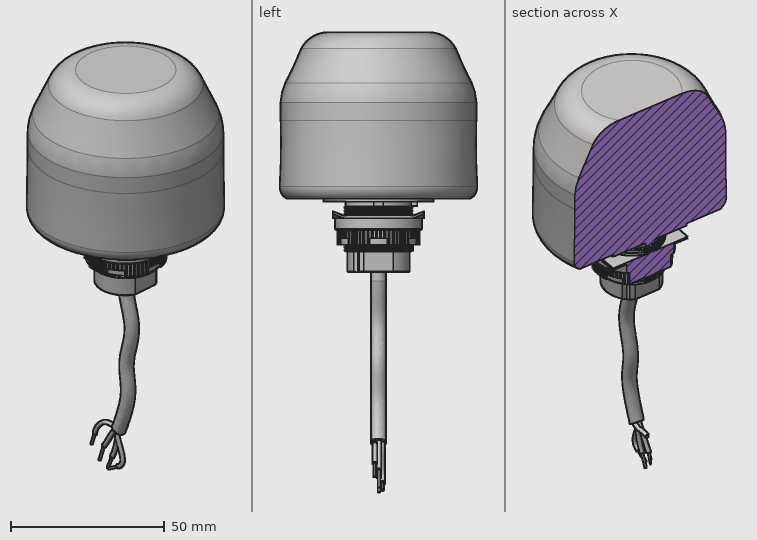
import cadquery as cq
import math


clearance = 1.5

top_z = 54.5
housing_radius = 32.3
lens_radius = 32.0
lens_flat_radius = 16.4
crown_round = 10.1
shoulder_round = 13.4
cone_slope = math.radians(62)
shoulder_bottom_z = 31.6
lens_bottom_z = 25.7
housing_round_z = 4.0
underside_radius = 30.0
flange_radius = 18
flange_bottom_z = -0.9

thread_root_radius = 10.6
thread_crest_radius = 11.1
ridge_count = 15
crest_width = 0.2
collar_radius = 10.8
collar_bottom_z = -2.4
neck_bottom_z = -17.3
key_width = 3.2
side_key_reach = 11.3
front_key_reach = 12.71
thread_flat_x = -11.0
dot_diameter = 3.5
dot_z = -15.2
dot_reach = 11.3

washer_half = 14.9
corner_start = 11.5
corner_top_z = -4.0
washer_top_z = -5.4
washer_bottom_z = -6.3

band_radius = 14.3
band_bottom_z = -10.2
band_chamfer = 0.5
crown_radius = 13.47
crown_bottom_z = -15
groove_count = 60
groove_width = 0.53
groove_depth = 0.38
groove_top_z = -10.4
pad_count = 6
pad_angle = 25
pad_radius = 13.01
pad_top_z = -13.0

cap_radius = 10.2
cap_flat_half = 9
cap_bottom_z = -24
cap_chamfer = 0.5
notch_angle = 135
notch_half_width = 1.43
notch_depth = 0.8

cable_radius = 2.48
cable_straight_z = -26.8
cable_bends = [
    (1.4, -32.3),
    (2.9, -40.5),
    (1.8, -47.4),
    (0.5, -54.9),
    (1.2, -63.5),
    (-0.6, -73.1),
    (-3, -79.7),
]
wire_radius = 0.83
strand_radius = 0.5
wire_root = (-2.7, -78.5)
wires = [
    (1.2, [(-5.3, -80.3), (-9.5, -80.2), (-13.0, -82.3), (-15, -86.4)], (-16.5, -90.9)),
    (-0.2, [(-5.0, -81.1), (-7.5, -85.2), (-9.6, -88.5)], (-11.6, -94.3)),
    (-0.2, [(-3.2, -81.2), (-4.0, -86.0), (-5.9, -91.0)], (-7.8, -95.8)),
    (-1.4, [(-2.4, -81.5), (-0.6, -86.8), (0, -90.1), (-2.1, -92.8)], (-6.2, -95.1)),
]


def cylinder(radius, top, bottom):
    return cq.Workplane("XY", origin=(0, 0, bottom)).circle(radius).extrude(top - bottom)


def block(x_range, y_range, z_range):
    size = [high - low for low, high in (x_range, y_range, z_range)]
    corner = (x_range[0], y_range[0], z_range[0])
    return cq.Workplane("XY", origin=corner).box(*size, centered=False)


def make_housing():
    crown_edge = (
        lens_flat_radius + crown_round * math.sin(cone_slope),
        top_z - crown_round * (1 - math.cos(cone_slope)),
    )
    cone_bottom = (
        lens_radius - shoulder_round * (1 - math.sin(cone_slope)),
        shoulder_bottom_z + shoulder_round * math.cos(cone_slope),
    )
    profile = (
        cq.Workplane("XZ")
        .moveTo(0, top_z)
        .lineTo(lens_flat_radius, top_z)
        .tangentArcPoint(crown_edge, relative=False)
        .lineTo(*cone_bottom)
        .tangentArcPoint((lens_radius, shoulder_bottom_z), relative=False)
        .lineTo(lens_radius, lens_bottom_z)
        .lineTo(housing_radius, housing_round_z)
        .tangentArcPoint((underside_radius, 0), relative=False)
        .lineTo(flange_radius, 0)
        .lineTo(flange_radius, flange_bottom_z)
        .lineTo(0, flange_bottom_z)
        .close()
    )
    return profile.revolve(360, (0, 0, 0), (0, 1, 0))


def make_neck():
    profile = (
        cq.Workplane("XZ")
        .moveTo(0, 0)
        .lineTo(collar_radius, 0)
        .lineTo(collar_radius, collar_bottom_z)
        .lineTo(thread_root_radius, collar_bottom_z)
    )
    thread_pitch = (collar_bottom_z - neck_bottom_z) / ridge_count
    flank = (thread_pitch - crest_width) / 2
    for ridge in range(ridge_count):
        ridge_z = collar_bottom_z - ridge * thread_pitch
        profile = (
            profile.lineTo(thread_crest_radius, ridge_z - flank)
            .lineTo(thread_crest_radius, ridge_z - flank - crest_width)
            .lineTo(thread_root_radius, ridge_z - thread_pitch)
        )
    profile = profile.lineTo(0, neck_bottom_z).close()
    neck = profile.revolve(360, (0, 0, 0), (0, 1, 0))

    beyond = thread_crest_radius + clearance
    neck = neck.cut(block((-beyond, thread_flat_x), (-beyond, beyond), (neck_bottom_z, collar_bottom_z)))

    half_key = key_width / 2
    key_z = (collar_bottom_z, 0)
    neck = neck.union(block((-side_key_reach, side_key_reach), (-half_key, half_key), key_z))
    neck = neck.union(block((-half_key, half_key), (-front_key_reach, 0), key_z))
    dot = cq.Workplane("XZ", origin=(0, 0, dot_z)).circle(dot_diameter / 2).extrude(dot_reach)
    return neck.union(dot)


def make_washer():
    fold = (washer_half + corner_start) / math.sqrt(2)
    corner = washer_half * math.sqrt(2)
    thickness = washer_top_z - washer_bottom_z
    strip = (
        cq.Workplane("XZ")
        .moveTo(-corner, corner_top_z)
        .lineTo(-fold, washer_top_z)
        .lineTo(fold, washer_top_z)
        .lineTo(corner, corner_top_z)
        .lineTo(corner, corner_top_z - thickness)
        .lineTo(fold, washer_bottom_z)
        .lineTo(-fold, washer_bottom_z)
        .lineTo(-corner, corner_top_z - thickness)
        .close()
        .extrude(fold, both=True)
    )
    folded = strip.rotate((0, 0, 0), (0, 0, 1), 45).union(strip.rotate((0, 0, 0), (0, 0, 1), 135))
    side = (-washer_half, washer_half)
    return folded.intersect(block(side, side, (washer_bottom_z, corner_top_z)))


def make_locknut():
    band = cylinder(band_radius, washer_bottom_z, band_bottom_z).faces("<Z").chamfer(band_chamfer)
    crown = cylinder(crown_radius, band_bottom_z, crown_bottom_z)

    groove_z = (crown_bottom_z, groove_top_z)
    half_groove = groove_width / 2
    groove_x = (crown_radius - groove_depth, crown_radius + clearance)
    groove = block(groove_x, (-half_groove, half_groove), groove_z)
    grooves = cq.Workplane("XY")
    for index in range(groove_count):
        grooves = grooves.add(groove.rotate((0, 0, 0), (0, 0, 1), (index + 0.5) * 360 / groove_count))
    crown = crown.cut(cq.Workplane(cq.Compound.makeCompound(grooves.vals())))

    pad = (
        cq.Workplane("XZ")
        .moveTo(pad_radius, crown_bottom_z)
        .lineTo(pad_radius, pad_top_z)
        .lineTo(crown_radius + clearance, pad_top_z)
        .lineTo(crown_radius + clearance, crown_bottom_z)
        .close()
        .revolve(pad_angle, (0, 0, 0), (0, 1, 0))
        .rotate((0, 0, 0), (0, 0, 1), -pad_angle / 2)
    )
    for index in range(pad_count):
        crown = crown.cut(pad.rotate((0, 0, 0), (0, 0, 1), index * 360 / pad_count))
    return band.union(crown)


def make_cap():
    cap = cylinder(cap_radius, neck_bottom_z, cap_bottom_z)
    flats = block((-cap_flat_half, cap_flat_half), (-cap_radius, cap_radius), (cap_bottom_z, neck_bottom_z))
    cap = cap.intersect(flats).faces("<Z").chamfer(cap_chamfer)
    notch = (
        cq.Workplane("XY", origin=(0, 0, cap_bottom_z))
        .moveTo(cap_radius - notch_depth, 0)
        .lineTo(cap_radius, notch_half_width)
        .lineTo(cap_radius, -notch_half_width)
        .close()
        .extrude(neck_bottom_z - cap_bottom_z)
        .rotate((0, 0, 0), (0, 0, 1), notch_angle)
    )
    return cap.cut(notch)


def round_sweep(radius, y, points, start_direction):
    path = cq.Workplane("XZ", origin=(0, y, 0)).spline(points)
    start = cq.Vector(points[0][0], y, points[0][1])
    plane = cq.Plane(start, xDir=(0, 1, 0), normal=(start_direction[0], 0, start_direction[1]))
    return cq.Workplane(plane).circle(radius).sweep(path)


def straight_strand(y, start, end):
    direction = cq.Vector(end[0] - start[0], 0, end[1] - start[1])
    base = cq.Vector(start[0], y, start[1])
    return cq.Workplane(cq.Solid.makeCylinder(strand_radius, direction.Length, base, direction))


def make_cable():
    straight = cylinder(cable_radius, cap_bottom_z, cable_straight_z)
    return straight.union(round_sweep(cable_radius, 0, [(0, cable_straight_z)] + cable_bends, (0, -1)))


def make_wire(y, points, tip):
    first = points[0]
    leave = (first[0] - wire_root[0], first[1] - wire_root[1])
    insulation = round_sweep(wire_radius, y, [wire_root] + points, leave)
    return insulation.union(straight_strand(y, points[-1], tip))


result = make_housing()
for part in (make_neck(), make_washer(), make_locknut(), make_cap(), make_cable()):
    result = result.union(part)
for wire_y, wire_points, strand_tip in wires:
    result = result.union(make_wire(wire_y, wire_points, strand_tip))